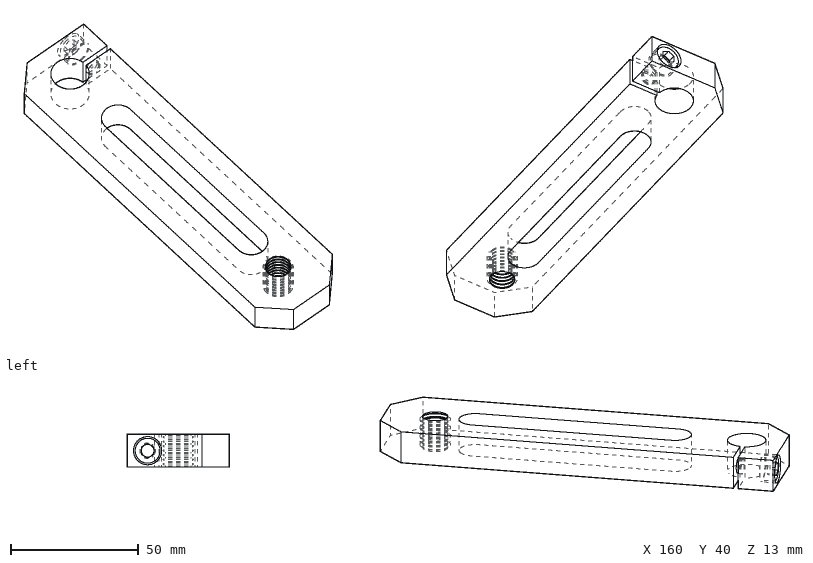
import cadquery as cq
import math

LENGTH = 160.0
WIDTH = 40.0
THICKNESS = 13.0
CORNER_CUT = 10.7
LEFT_END = -LENGTH / 2
BACK_EDGE = WIDTH / 2
MID_HEIGHT = THICKNESS / 2

SLOT_LENGTH = 93.0
SLOT_WIDTH = 13.0
SLOT_CENTER_X = LEFT_END + 83.8

BORE_DIAMETER = 15.0
BORE_CENTER_X = LEFT_END + 15.0
GAP_WIDTH = 2.0

END_HOLE_X = LEFT_END + 140.0
THREAD_MINOR_DIAMETER = 10.0
THREAD_MAJOR_DIAMETER = 12.0
THREAD_PITCH = 1.8
CREST_WIDTH = THREAD_PITCH / 4

SCREW_Y = BACK_EDGE - 8.0
COUNTERBORE_DIAMETER = 11.0
HEAD_DIAMETER = 9.8
COUNTERBORE_DEPTH = 6.0
HEAD_RECESS = 0.5
HEAD_TOP_X = LEFT_END + HEAD_RECESS
HEAD_BOTTOM_X = LEFT_END + COUNTERBORE_DEPTH
HEAD_ROUNDING = 0.6
SHANK_DIAMETER = 6.0
THREADED_END_DIAMETER = 5.5
SHANK_END_X = LEFT_END + 15.2
SOCKET_WIDTH = 5.0
SOCKET_DEPTH = 3.0
SOCKET_SIDES = 6
SOCKET_TIP_ANGLE = 120.0


def make_plate():
    """Flat bar with three corners cut off; the back left corner stays square."""
    plate = cq.Workplane("XY").box(LENGTH, WIDTH, THICKNESS, centered=(True, True, False))
    right_edges = plate.edges("|Z and >X")
    front_left_edge = plate.edges("|Z and <X").edges("<Y")
    return plate.newObject(right_edges.vals() + front_left_edge.vals()).chamfer(CORNER_CUT)


def make_slot():
    return cq.Workplane("XY").center(SLOT_CENTER_X, 0).slot2D(SLOT_LENGTH, SLOT_WIDTH).extrude(THICKNESS)


def make_clamp_opening():
    """Round bore joined to the back edge by a narrow gap."""
    base = cq.Workplane("XY").center(BORE_CENTER_X, 0)
    bore = base.circle(BORE_DIAMETER / 2).extrude(THICKNESS)
    gap = base.center(0, BACK_EDGE / 2).rect(GAP_WIDTH, BACK_EDGE).extrude(THICKNESS)
    return bore.union(gap)


def make_threaded_hole():
    """Through hole whose wall carries evenly spaced V grooves."""
    minor_radius = THREAD_MINOR_DIAMETER / 2
    major_radius = THREAD_MAJOR_DIAMETER / 2
    groove_count = math.floor(THICKNESS / THREAD_PITCH)
    bottom_land = (THICKNESS - groove_count * THREAD_PITCH) / 2
    profile = cq.Workplane("XZ").moveTo(0, 0).lineTo(minor_radius, 0)
    for index in range(groove_count):
        groove_start = bottom_land + index * THREAD_PITCH
        profile = (
            profile.lineTo(minor_radius, groove_start + CREST_WIDTH / 2)
            .lineTo(major_radius, groove_start + THREAD_PITCH / 2)
            .lineTo(minor_radius, groove_start + THREAD_PITCH - CREST_WIDTH / 2)
        )
    profile = profile.lineTo(minor_radius, THICKNESS).lineTo(0, THICKNESS).close()
    return profile.revolve(360, (0, 0), (0, 1)).translate((END_HOLE_X, 0, 0))


def screw_cylinder(diameter, start_x, end_x):
    """Cylinder on the screw axis between two X positions."""
    plane = cq.Workplane("YZ", origin=(start_x, SCREW_Y, MID_HEIGHT))
    return plane.circle(diameter / 2).extrude(end_x - start_x)


def make_socket():
    """Hexagonal socket with two upright flats and a conical bottom."""
    corner_diameter = SOCKET_WIDTH / math.cos(math.pi / SOCKET_SIDES)
    half_side_angle = 180 / SOCKET_SIDES
    tip_depth = SOCKET_WIDTH / 2 / math.tan(math.radians(SOCKET_TIP_ANGLE / 2))
    hexagon = (
        cq.Workplane("YZ", origin=(HEAD_TOP_X, SCREW_Y, MID_HEIGHT))
        .transformed(rotate=(0, 0, half_side_angle))
        .polygon(SOCKET_SIDES, corner_diameter)
        .extrude(SOCKET_DEPTH)
    )
    tip = cq.Solid.makeCone(
        SOCKET_WIDTH / 2,
        0,
        tip_depth,
        pnt=cq.Vector(HEAD_TOP_X + SOCKET_DEPTH, SCREW_Y, MID_HEIGHT),
        dir=cq.Vector(1, 0, 0),
    )
    return hexagon.union(cq.Workplane(tip))


def make_screw():
    """Cap screw from just inside the left end to the far wall of the gap."""
    head = screw_cylinder(HEAD_DIAMETER, HEAD_TOP_X, HEAD_BOTTOM_X).faces("<X").fillet(HEAD_ROUNDING)
    shank = screw_cylinder(SHANK_DIAMETER, HEAD_BOTTOM_X, SHANK_END_X)
    threaded_end = screw_cylinder(THREADED_END_DIAMETER, SHANK_END_X, BORE_CENTER_X + GAP_WIDTH / 2)
    return head.union(shank).union(threaded_end).cut(make_socket())


counterbore = screw_cylinder(COUNTERBORE_DIAMETER, LEFT_END, HEAD_BOTTOM_X)

result = (
    make_plate()
    .cut(make_slot())
    .cut(make_clamp_opening())
    .cut(make_threaded_hole())
    .cut(counterbore)
    .union(make_screw())
)